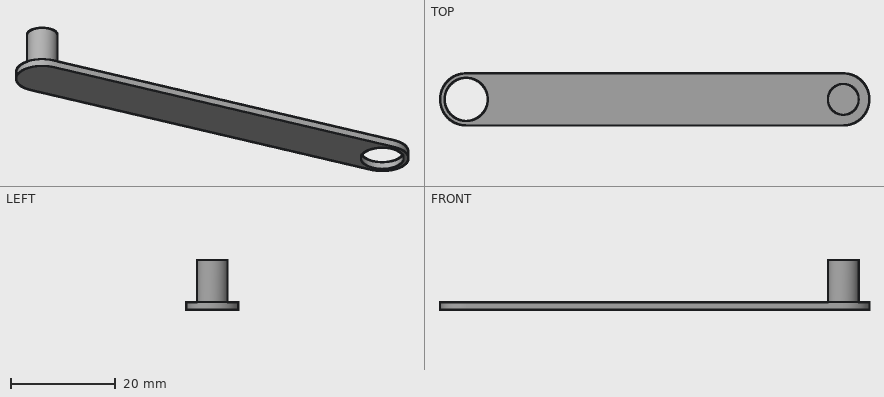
import cadquery as cq

length = 82.0
width = 10.0
total_height = 9.5
plate_thickness = 1.5
hole_diameter = 8.2
pin_diameter = 5.9

end_offset = (length - width) / 2

bar = cq.Workplane("XY").slot2D(length, width).extrude(plate_thickness)

bar = bar.faces("<Z").workplane(origin=(-end_offset, 0, 0)).hole(hole_diameter)

pin = cq.Workplane("XY").center(end_offset, 0).circle(pin_diameter / 2).extrude(total_height)

result = bar.union(pin)